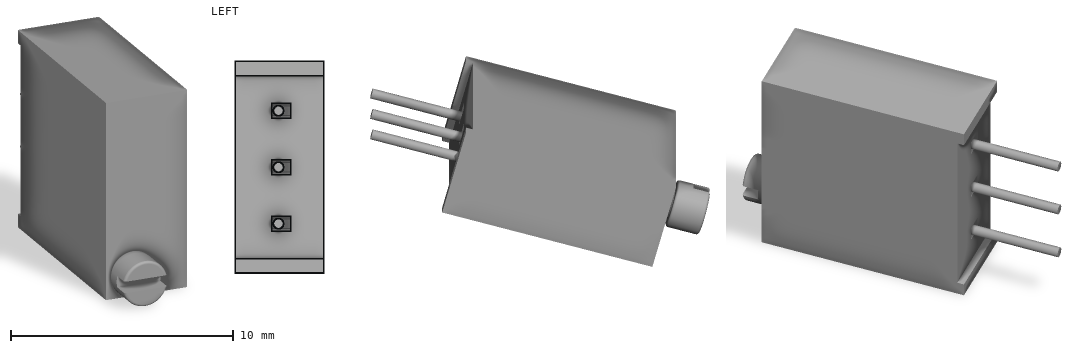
import cadquery as cq

OVERALL_LENGTH = 15.32
BODY_WIDTH = 4.0
BODY_HEIGHT = 9.55
BODY_START = 3.85
BODY_END = 13.67

FOOT_HEIGHT = 0.65
FOOT_LENGTH = 0.32
PIN_FACE = BODY_START + FOOT_LENGTH

PIN_DIAMETER = 0.46
PIN_PITCH = 2.55
PIN_Y = 0.05

POCKET_WIDTH = 0.87
POCKET_HEIGHT = 0.67
POCKET_DEPTH = 0.3
POCKET_FILLET = 0.12
POCKET_Y = -0.08

SCREW_Y = -0.77
SCREW_Z = -3.6
HEAD_DIAMETER = 2.18
HEAD_START = 13.79
HEAD_FILLET = 0.12
NECK_DIAMETER = 1.42
SLOT_WIDTH = 0.55
SLOT_DEPTH = 0.8


def box_from(x_start, x_end, width, height, y=0, z=0):
    """Box spanning an X range, centred at the given Y and Z."""
    length = x_end - x_start
    return cq.Workplane("XY").box(length, width, height).translate((x_start + length / 2, y, z))


def rod(x_start, x_end, diameter, y, z):
    """Cylinder along X, centred at the given Y and Z."""
    return (
        cq.Workplane("YZ", origin=(x_start, y, z))
        .circle(diameter / 2)
        .extrude(x_end - x_start)
    )


def make_body():
    body = box_from(BODY_START, BODY_END, BODY_WIDTH, BODY_HEIGHT)
    recess = box_from(BODY_START, PIN_FACE, BODY_WIDTH, BODY_HEIGHT - 2 * FOOT_HEIGHT)
    return body.cut(recess)


def make_pocket(z):
    """Rectangular pocket whose floor curves up into the top and bottom walls."""
    floor = PIN_FACE + POCKET_DEPTH
    pocket = box_from(PIN_FACE, floor, POCKET_WIDTH, POCKET_HEIGHT, POCKET_Y, z)
    return pocket.faces(">X").edges("|Y").fillet(POCKET_FILLET)


def make_screw():
    head = rod(HEAD_START, OVERALL_LENGTH, HEAD_DIAMETER, SCREW_Y, SCREW_Z)
    head = head.faces("<X or >X").edges().fillet(HEAD_FILLET)
    slot_floor = OVERALL_LENGTH - SLOT_DEPTH
    slot = box_from(slot_floor, OVERALL_LENGTH, HEAD_DIAMETER, SLOT_WIDTH, SCREW_Y, SCREW_Z)
    neck = rod(BODY_END, HEAD_START, NECK_DIAMETER, SCREW_Y, SCREW_Z)
    return head.cut(slot).union(neck)


result = make_body().union(make_screw())
for pin_z in (-PIN_PITCH, 0, PIN_PITCH):
    pin = rod(0, PIN_FACE + POCKET_DEPTH, PIN_DIAMETER, PIN_Y, pin_z)
    result = result.cut(make_pocket(pin_z)).union(pin)